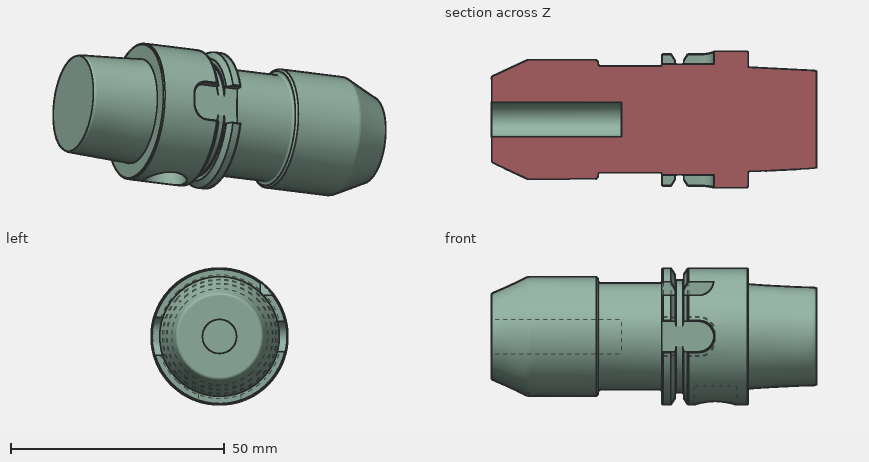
import cadquery as cq

total_length = 76.0
nose_cone_end = 8.5
nose_end = 25.0
flange_start = 39.8
rim_end = 41.95
groove_start = 43.2
groove_end = 44.7
body_start = 46.0
flange_end = 60.05
taper_start = 60.35

bore_radius = 8.0 / 2
nose_tip_radius = 10.0
nose_radius = 28.0 / 2
neck_radius = 25.0 / 2
flange_radius = 32.0 / 2
groove_radius = 13.2
groove_shoulder_radius = 14.45
groove_step = 0.2
groove_lip = 0.15
groove_clearance = 0.75
taper_large_radius = 12.2
taper_small_radius = 11.5
taper_collar_radius = 12.3

tip_round = 0.75
shoulder_round = 1.1
slot_chamfer = 0.2
nose_round = 0.45
nose_chamfer = 0.5
rim_chamfer = 0.3
tail_chamfer = 0.7
tail_chamfer_drop = 0.2

bore_depth = 30.4

slot_floor = 13.0
narrow_slot_width = 7.1
narrow_slot_end = 52.0
narrow_slot_length = 18.25
wide_slot_width = 8.9
wide_slot_end = 52.0
wide_slot_corner = 3.4

notch_offset = 9.6
notch_end = 52.0
notch_corner = 3.65
notch_height = 7.4

chip_diameter = 10.0
chip_depth = 4.5
chip_x = 52.3


def turned_body():
    """Revolve the outer profile about the X axis."""
    return (
        cq.Workplane("XY")
        .moveTo(0, 0)
        .lineTo(0, nose_tip_radius)
        .lineTo(nose_cone_end, nose_radius)
        .lineTo(nose_end - nose_chamfer, nose_radius)
        .lineTo(nose_end, nose_radius - nose_chamfer)
        .lineTo(nose_end, neck_radius + nose_round)
        .radiusArc((nose_end + nose_round, neck_radius), -nose_round)
        .lineTo(flange_start - nose_round, neck_radius)
        .radiusArc((flange_start, neck_radius + nose_round), -nose_round)
        .lineTo(flange_start, flange_radius - rim_chamfer)
        .lineTo(flange_start + rim_chamfer, flange_radius)
        .lineTo(flange_end - rim_chamfer, flange_radius)
        .lineTo(flange_end, flange_radius - rim_chamfer)
        .lineTo(flange_end, taper_collar_radius)
        .lineTo(taper_start, taper_large_radius)
        .lineTo(total_length - tail_chamfer, taper_small_radius)
        .lineTo(total_length, taper_small_radius - tail_chamfer_drop)
        .lineTo(total_length, 0)
        .close()
        .revolve(360, (0, 0, 0), (1, 0, 0))
    )


def gripper_groove():
    """Ring with sloped shoulders and a narrower straight bottom."""
    left_wall = groove_start - groove_step
    right_wall = groove_end + groove_step
    return (
        cq.Workplane("XY")
        .moveTo(rim_end, flange_radius)
        .lineTo(left_wall, groove_shoulder_radius)
        .lineTo(left_wall, groove_radius + groove_step)
        .lineTo(groove_start, groove_radius)
        .lineTo(groove_end, groove_radius)
        .lineTo(right_wall, groove_radius + groove_step)
        .lineTo(right_wall, groove_shoulder_radius)
        .lineTo(body_start - groove_lip, flange_radius - groove_lip)
        .lineTo(body_start + groove_lip, flange_radius)
        .lineTo(body_start + groove_lip, flange_radius + groove_clearance)
        .lineTo(rim_end, flange_radius + groove_clearance)
        .close()
        .revolve(360, (0, 0, 0), (1, 0, 0))
    )


def slot_rim(y_low, y_high, half_width, end):
    """Select the edges where a drive slot breaks through the flange surface."""
    margin = 0.1
    return cq.selectors.BoxSelector(
        (flange_start + rim_chamfer, y_low, -half_width - margin),
        (end + margin, y_high, half_width + margin),
    )


def flange_slot(end, low_z, high_z, corner):
    """Block running from the flange face to a round-cornered end, standing on Y = 0."""
    return (
        cq.Workplane("XY")
        .box(end - flange_start, flange_radius, high_z - low_z, centered=False)
        .edges("|Y and >X")
        .fillet(corner)
        .translate((flange_start, 0, low_z))
    )


body = turned_body()
body = body.faces("<X").edges().fillet(tip_round)
shoulder_box = cq.selectors.BoxSelector(
    (nose_cone_end - tip_round, -flange_radius, -flange_radius),
    (nose_cone_end + tip_round, flange_radius, flange_radius),
)
body = body.edges(shoulder_box).fillet(shoulder_round)
bore = cq.Workplane("YZ").circle(bore_radius).extrude(bore_depth)

narrow_half = narrow_slot_width / 2
narrow_slot = (
    cq.Workplane("XZ", origin=(narrow_slot_end - narrow_slot_length / 2, -slot_floor, 0))
    .slot2D(narrow_slot_length, narrow_slot_width)
    .extrude(flange_radius)
)
wide_half = wide_slot_width / 2
wide_slot = flange_slot(wide_slot_end, -wide_half, wide_half, wide_slot_corner)
notch = flange_slot(notch_end, notch_offset, notch_offset + notch_height, notch_corner)

chip_pocket = (
    cq.Workplane("XY", origin=(chip_x, 0, -flange_radius))
    .circle(chip_diameter / 2)
    .extrude(chip_depth)
)

body = body.cut(narrow_slot)
body = body.cut(wide_slot.translate((0, slot_floor, 0)))
rim_y = (slot_floor + flange_radius) / 2
narrow_rim = slot_rim(-flange_radius, -rim_y, narrow_half, narrow_slot_end)
wide_rim = slot_rim(rim_y, flange_radius, wide_half, wide_slot_end)
body = body.edges(narrow_rim).chamfer(slot_chamfer)
body = body.edges(wide_rim).chamfer(slot_chamfer)

result = (
    body.cut(gripper_groove())
    .cut(notch.translate((0, -notch_offset - flange_radius, 0)))
    .cut(chip_pocket)
    .cut(bore)
)